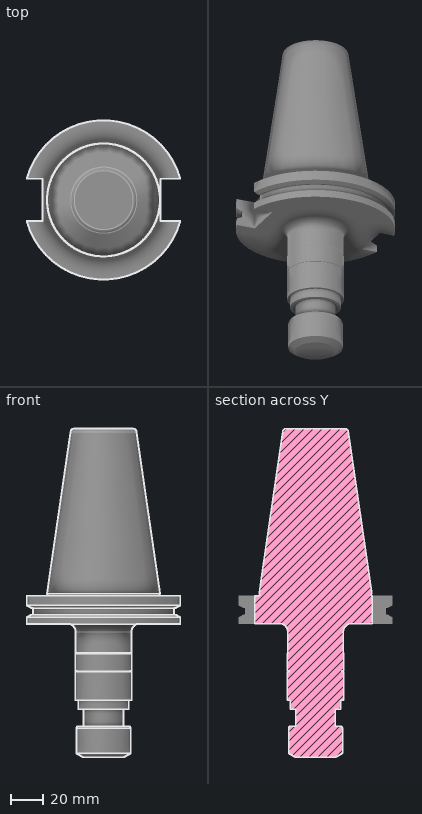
import cadquery as cq
import math

total_height = 202.8
nut_top = 19.3
shoulder_bottom = 29.6
sleeve_bottom = 35.0
seam_bottom = 53.0
seam_top = 53.1
bevel_bottom = 63.9
bevel_top = 64.5
flange_bottom = 82.1
flange_top = 99.8

nut_diameter = 33.7
nut_top_diameter = 32.5
nut_top_chamfer_height = 1.2
nut_face_chamfer_radial = 4.3
nut_face_chamfer_height = 2.5

spindle_diameter = 25.0
shoulder_diameter = 31.5
sleeve_diameter = 35.0
shank_diameter = 34.7
seam_diameter = 32.5

flare_height = 4.7
flare_radial = 3.2

flange_diameter = 98.4
groove_diameter = 90.9
lower_rim_height = 4.3
upper_rim_height = 6.0
groove_flank_height = 1.6
groove_flank_radial = 2.8

neck_diameter = 69.4
neck_height = 1.0
taper_diameter = 70.0
taper_ratio = 7 / 24
tip_fillet = 2.2

slot_width = 26.0
left_slot_floor = 37.7
right_slot_floor = 35.3


def ring(diameter, bottom, top):
    """Solid disc about the Z axis between two heights."""
    return cq.Workplane("XY").workplane(offset=bottom).circle(diameter / 2).extrude(top - bottom)


def make_nut():
    """Solid nut turned about the Z axis."""
    radius = nut_diameter / 2
    return (
        cq.Workplane("XZ")
        .lineTo(radius - nut_face_chamfer_radial, 0)
        .lineTo(radius, nut_face_chamfer_height)
        .lineTo(radius, nut_top - nut_top_chamfer_height)
        .lineTo(nut_top_diameter / 2, nut_top)
        .lineTo(0, nut_top)
        .close()
        .revolve(360, (0, 0, 0), (0, 1, 0))
    )


def make_shank():
    """Spindle, shoulder and sleeve, then a slightly slimmer length up to the flange."""
    shank = ring(spindle_diameter, nut_top, shoulder_bottom)
    shank = shank.union(ring(shoulder_diameter, shoulder_bottom, sleeve_bottom))
    shank = shank.union(ring(sleeve_diameter, sleeve_bottom, seam_bottom))
    shank = shank.union(ring(seam_diameter, seam_bottom, seam_top))
    shank = shank.union(ring(sleeve_diameter, seam_top, bevel_bottom))
    bevel = (
        cq.Workplane("XZ")
        .moveTo(0, bevel_bottom)
        .lineTo(sleeve_diameter / 2, bevel_bottom)
        .lineTo(shank_diameter / 2, bevel_top)
        .lineTo(0, bevel_top)
        .close()
        .revolve(360, (0, 0, 0), (0, 1, 0))
    )
    return shank.union(bevel).union(ring(shank_diameter, bevel_top, flange_bottom))


def make_flare():
    """Arc tangent to the shank that widens up to the flange."""
    radius = shank_diameter / 2
    arc_radius = (flare_radial**2 + flare_height**2) / (2 * flare_radial)
    half_angle = math.asin(flare_height / arc_radius) / 2
    middle = (
        radius + arc_radius * (1 - math.cos(half_angle)),
        flange_bottom - flare_height + arc_radius * math.sin(half_angle),
    )
    return (
        cq.Workplane("XZ")
        .moveTo(0, flange_bottom - flare_height)
        .lineTo(radius, flange_bottom - flare_height)
        .threePointArc(middle, (radius + flare_radial, flange_bottom))
        .lineTo(0, flange_bottom)
        .close()
        .revolve(360, (0, 0, 0), (0, 1, 0))
    )


def make_flange():
    """Flange with a gripper groove round its rim and two driving slots of unequal depth."""
    rim = flange_diameter / 2
    floor = groove_diameter / 2
    flank = rim - groove_flank_radial
    groove_bottom = flange_bottom + lower_rim_height
    groove_top = flange_top - upper_rim_height
    flange = (
        cq.Workplane("XZ")
        .moveTo(0, flange_bottom)
        .lineTo(rim, flange_bottom)
        .lineTo(rim, groove_bottom)
        .lineTo(flank, groove_bottom + groove_flank_height)
        .lineTo(floor, groove_bottom + groove_flank_height)
        .lineTo(floor, groove_top - groove_flank_height)
        .lineTo(flank, groove_top - groove_flank_height)
        .lineTo(rim, groove_top)
        .lineTo(rim, flange_top)
        .lineTo(0, flange_top)
        .close()
        .revolve(360, (0, 0, 0), (0, 1, 0))
    )
    for side, floor_distance in ((-1, left_slot_floor), (1, right_slot_floor)):
        slot = (
            cq.Workplane("XY")
            .workplane(offset=flange_bottom)
            .center(side * (floor_distance + rim / 2), 0)
            .rect(rim, slot_width)
            .extrude(flange_top - flange_bottom)
        )
        flange = flange.cut(slot)
    return flange


def make_taper():
    """Cone with a rounded tip, on its neck."""
    neck_top = flange_top + neck_height
    base_radius = taper_diameter / 2
    tip_radius = base_radius - (total_height - neck_top) * taper_ratio / 2
    cone = (
        cq.Workplane("XZ")
        .moveTo(0, neck_top)
        .lineTo(base_radius, neck_top)
        .lineTo(tip_radius, total_height)
        .lineTo(0, total_height)
        .close()
        .revolve(360, (0, 0, 0), (0, 1, 0))
        .faces(">Z")
        .edges()
        .fillet(tip_fillet)
    )
    return cone.union(ring(neck_diameter, flange_top, neck_top))


result = make_nut().union(make_shank()).union(make_flare()).union(make_flange()).union(make_taper())